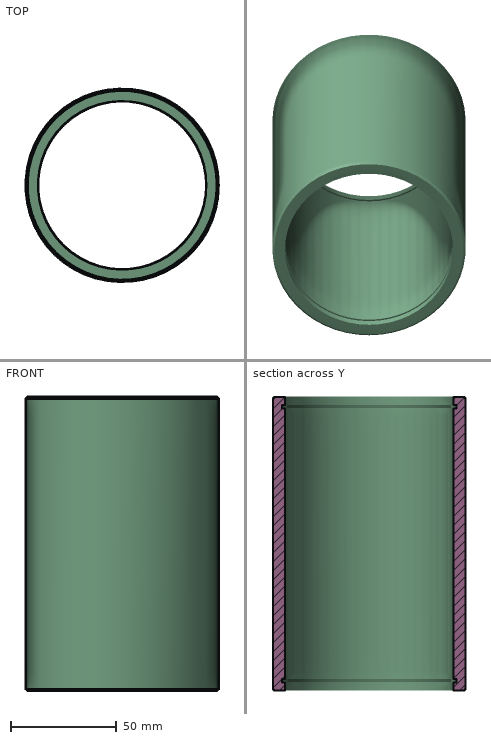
import cadquery as cq

length = 140.0
outer_diameter = 92.0
bore_diameter = 80.0
end_chamfer = 1.0
groove_depth = 1.5
groove_width = 1.5
groove_setback = 4.0


def make_tube():
    """Plain tube with a chamfer around the outside of both ends."""
    body = cq.Workplane("XY").circle(outer_diameter / 2).extrude(length)
    body = body.faces("<Z or >Z").edges().chamfer(end_chamfer)
    bore = cq.Workplane("XY").circle(bore_diameter / 2).extrude(length)
    return body.cut(bore)


def ring_groove(base_height):
    """Disc that cuts a ring groove into the bore wall."""
    groove_radius = bore_diameter / 2 + groove_depth
    return cq.Workplane("XY", origin=(0, 0, base_height)).circle(groove_radius).extrude(groove_width)


result = make_tube()
for base_height in (groove_setback, length - groove_setback - groove_width):
    result = result.cut(ring_groove(base_height))